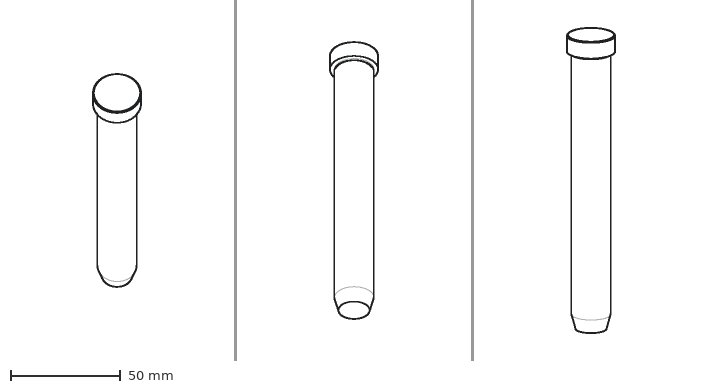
import cadquery as cq
import math

total_length = 140.0

head_diameter = 22.0
head_height = 8.0
head_chamfer = 0.5

shank_diameter = 18.0

neck_depth = 0.5
neck_height = 1.0
neck_fillet = 0.5
neck_runout_angle = 30.0

tip_length = 7.0
tip_half_angle = 15.0

head_radius = head_diameter / 2
shank_radius = shank_diameter / 2
neck_radius = shank_radius - neck_depth
tip_radius = shank_radius - tip_length * math.tan(math.radians(tip_half_angle))

head_underside = total_length - head_height
neck_bottom = head_underside - neck_height
neck_runout = neck_depth * math.tan(math.radians(neck_runout_angle))

fillet_mid_offset = neck_fillet * math.cos(math.radians(45))
fillet_center_radius = neck_radius + neck_fillet
fillet_center_height = head_underside - neck_fillet


def pin():
    """Revolve the half section, drawn on the -X side, about the Z axis."""
    fillet_mid = (
        -fillet_center_radius + fillet_mid_offset,
        fillet_center_height + fillet_mid_offset,
    )
    half_section = (
        cq.Workplane("XZ")
        .lineTo(-tip_radius, 0)
        .lineTo(-shank_radius, tip_length)
        .lineTo(-shank_radius, neck_bottom)
        .lineTo(-neck_radius, neck_bottom + neck_runout)
        .lineTo(-neck_radius, fillet_center_height)
        .threePointArc(fillet_mid, (-fillet_center_radius, head_underside))
        .lineTo(-head_radius, head_underside)
        .lineTo(-head_radius, total_length - head_chamfer)
        .lineTo(-head_radius + head_chamfer, total_length)
        .lineTo(0, total_length)
        .close()
    )
    return half_section.revolve(360, (0, 0, 0), (0, 1, 0))


result = pin()